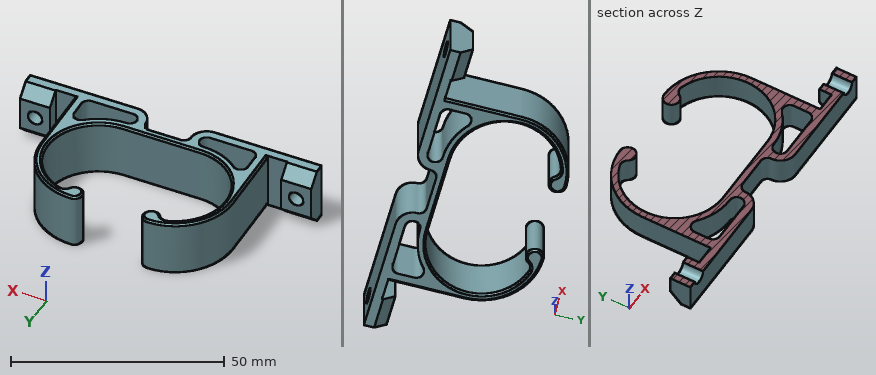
import cadquery as cq
import math

length = 76.0
depth = 36.0
height = 15.0

arc_center_x = 10.0
outer_radius = 15.05
wall = 1.8
inner_radius = outer_radius - wall
arc_center_y = depth - outer_radius
half_cradle = arc_center_x + outer_radius
edge_chamfer = 0.5

lip_radius = 2.1
lip_center_y = depth - lip_radius
neck_radius = 2.0

plate_thickness = 2.3
pad_length = 7.8
pad_depth = 5.55
pad_chamfer = 3.05
hole_diameter = 3.7
hole_inset = 3.95

floor_underside = arc_center_y - outer_radius
pocket_wall = 2.4
pocket_radius = (floor_underside - plate_thickness) / 2
channel_center_y = plate_thickness + pocket_radius
channel_corner_radius = channel_center_y


def polar(center, radius, angle):
    """Point on a circle, with the angle in radians."""
    return (center[0] + radius * math.cos(angle), center[1] + radius * math.sin(angle))


def arc_to(sketch, center, radius, start, end):
    """Continue an outline along a circle from angle start to angle end."""
    return sketch.threePointArc(polar(center, radius, (start + end) / 2), polar(center, radius, end))


def extrude_centered(sketch):
    return sketch.close().extrude(height / 2, both=True)


def make_half_cradle():
    """Right half of the cradle, with its edges chamfered on both faces."""
    arc_center = (arc_center_x, arc_center_y)
    lip_center = (arc_center_x, lip_center_y)
    bore_distance = inner_radius - neck_radius
    lip_distance = lip_radius + neck_radius
    spacing = lip_center_y - arc_center_y
    neck_dy = (bore_distance**2 - lip_distance**2 + spacing**2) / (2 * spacing)
    neck_dx = math.sqrt(bore_distance**2 - neck_dy**2)
    neck_center = (arc_center_x + neck_dx, arc_center_y + neck_dy)
    bore_angle = math.atan2(neck_dy, neck_dx)
    lip_angle = math.atan2(neck_center[1] - lip_center_y, neck_dx)

    outline = cq.Workplane("XY").moveTo(0, plate_thickness).lineTo(half_cradle, plate_thickness)
    outline = outline.lineTo(half_cradle, arc_center_y)
    outline = arc_to(outline, arc_center, outer_radius, 0, math.pi / 2)
    outline = arc_to(outline, lip_center, lip_radius, math.pi / 2, 2 * math.pi + lip_angle)
    outline = arc_to(outline, neck_center, neck_radius, math.pi + lip_angle, bore_angle)
    outline = arc_to(outline, arc_center, inner_radius, bore_angle, -math.pi / 2)
    outline = outline.lineTo(0, arc_center_y - inner_radius)
    solid = extrude_centered(outline)

    sharp_edges = solid.faces("<Y or <X").edges().vals()
    face_edges = solid.faces("|Z").edges().vals()
    chamfered_edges = [edge for edge in face_edges if not any(edge.isSame(sharp) for sharp in sharp_edges)]
    return solid.newObject(chamfered_edges).chamfer(edge_chamfer)


def make_base():
    return cq.Workplane("XY").box(length, plate_thickness, height, centered=(True, False, True))


def make_pad():
    """End pad whose inner long edges are beveled."""
    pad = cq.Workplane("XY").box(pad_length, pad_depth, height, centered=(True, False, True))
    pad = pad.faces(">Y").edges("|X").chamfer(pad_chamfer)
    return pad.translate(((length - pad_length) / 2, 0, 0))


def make_hole():
    hole = cq.Workplane("XZ").center(length / 2 - hole_inset, 0).circle(hole_diameter / 2)
    return hole.extrude(-pad_depth)


def make_pocket():
    """Pocket between the base plate, the side wall and the cradle arc."""
    arc_center = (arc_center_x, arc_center_y)
    outer_x = half_cradle - pocket_wall
    round_x = outer_x - pocket_radius
    top_distance = outer_radius + pocket_radius
    top_dx = round_x - arc_center_x
    top_center = (round_x, arc_center_y - math.sqrt(top_distance**2 - top_dx**2))
    bottom_center = (round_x, channel_center_y)
    inner_center = (arc_center_x, channel_center_y)
    contact_angle = math.atan2(top_center[1] - arc_center_y, top_dx)

    outline = cq.Workplane("XY").moveTo(arc_center_x, plate_thickness).lineTo(round_x, plate_thickness)
    outline = arc_to(outline, bottom_center, pocket_radius, -math.pi / 2, 0)
    outline = outline.lineTo(outer_x, top_center[1])
    outline = arc_to(outline, top_center, pocket_radius, 0, math.pi + contact_angle)
    outline = arc_to(outline, arc_center, outer_radius, contact_angle, -math.pi / 2)
    outline = arc_to(outline, inner_center, pocket_radius, math.pi / 2, 3 * math.pi / 2)
    return extrude_centered(outline)


def make_half_channel():
    """Right half of the front channel, with an S-shaped side."""
    corner_center = (arc_center_x, channel_center_y)
    root_x = arc_center_x - channel_corner_radius - pocket_radius
    outline = cq.Workplane("XY").lineTo(arc_center_x, 0)
    outline = arc_to(outline, corner_center, channel_corner_radius, 3 * math.pi / 2, math.pi)
    outline = arc_to(outline, (root_x, channel_center_y), pocket_radius, 0, math.pi / 2)
    outline = outline.lineTo(0, floor_underside)
    return extrude_centered(outline)


result = make_base()
for body in (make_half_cradle(), make_pad()):
    result = result.union(body).union(body.mirror("YZ"))
for cutter in (make_pocket(), make_half_channel(), make_hole()):
    result = result.cut(cutter).cut(cutter.mirror("YZ"))
result = result.clean()